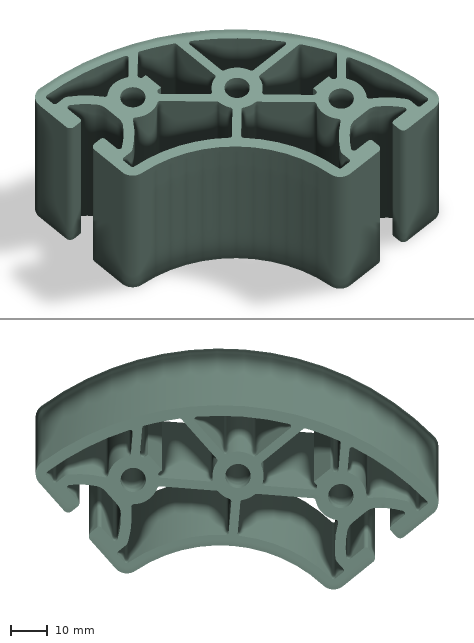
import cadquery as cq
import math


overall = 79.9
length = 50.0
corner_radius = 4.0
wall = 3.0
chamber_radius = 0.7

outer_radius = corner_radius + math.hypot(overall - corner_radius, corner_radius)
inner_radius = outer_radius / 2
mid_radius = (outer_radius + inner_radius) / 2
half_width = (outer_radius - inner_radius) / 2

boss_radius = 6.95
hole_radius = 3.4
web = 2.5
pad_half_width = 2.95
pad_reach = 7.8

middle_boss = (-mid_radius / math.sqrt(2), mid_radius / math.sqrt(2))
end_boss = (-mid_radius, half_width)
mirrored_end_boss = (-end_boss[1], -end_boss[0])

end_depth = half_width
slot_floor_depth = 7.8
lip_depth = 15.3
slot_gap = 7.9
slot_floor_radius = 4.55
slot_corner_radius = 0.8
lip_outer_radius = 1.5
lip_inner_radius = 0.95
shoulder_half_width = 12.95
shoulder_radius = 2.4

leg_center_depth = 27.6
leg_center_side = -9.75
leg_inner_radius = 24.0
leg_outer_radius = 26.9
leg_root_depth = boss_radius / 2


def ring_quadrant(small, large, inset):
    """Quarter of a ring about the bend axis, kept a distance `inset` inside both end faces."""
    ring = cq.Workplane().circle(large).circle(small).extrude(length)
    quadrant = cq.Workplane().box(large, large, length, centered=False)
    return ring.intersect(quadrant.translate((-large - inset, inset, 0)))


def with_mirror(solid):
    """The solid together with its copy at the other end of the bend."""
    return solid.union(solid.mirror(cq.Vector(1, 1, 0)))


def cylinder(center, radius):
    return cq.Workplane().center(*center).circle(radius).extrude(length)


def bar(start, angle, reach):
    """Web leaving `start` at an angle in degrees from +X."""
    plate = cq.Workplane().box(reach, web, length, centered=(False, True, False))
    return plate.rotate((0, 0, 0), (0, 0, 1), angle).translate((*start, 0))


def pad():
    """Flat raised pad on the side of the end boss facing away from the slot."""
    center = (end_boss[0], end_boss[1] + pad_reach / 2)
    return cq.Workplane().center(*center).rect(2 * pad_half_width, pad_reach).extrude(length)


def at_end_boss(points):
    """Turn (side, depth) pairs into profile points at the end boss."""
    return [(end_boss[0] + side, end_boss[1] - depth) for side, depth in points]


def nearest_edge(point):
    """Selector of the upright edge through a profile point."""
    return cq.selectors.NearestToPointSelector((*point, length / 2))


def leg_side(radius, depth):
    """Side distance of a leg arc at a depth."""
    return leg_center_side + math.sqrt(radius**2 - (depth - leg_center_depth) ** 2)


def leg_depth(radius, side):
    """Depth at which a leg arc reaches a side distance."""
    return leg_center_depth - math.sqrt(radius**2 - (side - leg_center_side) ** 2)


def between_legs(radius, top, bottom, base):
    """Symmetric prism between leg arcs from depth `top` to `bottom`, with straight sides on to `base`."""
    right = [(leg_side(radius, depth), depth) for depth in (top, (top + bottom) / 2, bottom)]
    left = [(-side, depth) for side, depth in reversed(right)]
    start, middle, stop = at_end_boss(right)
    left_stop, left_middle, left_start = at_end_boss(left)
    base_y = end_boss[1] - base
    outline = cq.Workplane().moveTo(*start).threePointArc(middle, stop)
    if base > bottom:
        outline = outline.lineTo(stop[0], base_y).lineTo(left_stop[0], base_y)
    outline = outline.lineTo(*left_stop).threePointArc(left_middle, left_start)
    return outline.close().extrude(length)


def slot_block():
    """Legs, shoulders and lips of a slot as one block, before hollowing."""
    shoulder_depth = leg_depth(leg_outer_radius, shoulder_half_width)
    block = between_legs(leg_outer_radius, leg_root_depth, shoulder_depth, end_depth)
    shoulders = [(side * shoulder_half_width, shoulder_depth) for side in (-1, 1)]
    for shoulder in at_end_boss(shoulders):
        block = block.edges("|Z").edges(nearest_edge(shoulder)).fillet(shoulder_radius)
    return block


def slot_void():
    """Cavity behind the lips, and the gap between them."""
    cavity = between_legs(leg_inner_radius, slot_floor_depth, lip_depth, lip_depth)
    cavity = cavity.edges("|Z and >Y").fillet(slot_floor_radius)
    cavity = cavity.edges("|Z and <Y").fillet(slot_corner_radius)
    lip_y = end_boss[1] - lip_depth
    gap = cq.Workplane().center(end_boss[0], lip_y / 2).rect(slot_gap, lip_y)
    return cavity.union(gap.extrude(length))


def round_lips(body, inset, radius):
    """Round the four slot lip edges lying a distance `inset` inside the end faces."""
    for side in (-1, 1):
        x = end_boss[0] + side * slot_gap / 2
        for point in ((x, inset), (-inset, -x)):
            body = body.edges("|Z").edges(nearest_edge(point)).fillet(radius)
    return body


def rounded(chamber):
    """Round the recessed corners of a chamber and keep its reentrant corners sharp."""
    outline = cq.Workplane(chamber).faces("<Z").wires().toPending()
    outline = outline.offset2D(-chamber_radius).offset2D(chamber_radius)
    return outline.extrude(length, combine=False)


end_frame = slot_block().union(cylinder(end_boss, boss_radius)).union(pad())
end_frame = end_frame.union(bar(end_boss, 45, math.dist(end_boss, middle_boss)))
end_frame = end_frame.union(bar(end_boss, 135, half_width))
end_frame = end_frame.union(bar(middle_boss, 180, 2 * half_width))
frame = with_mirror(end_frame).union(cylinder(middle_boss, boss_radius))
frame = frame.union(bar(middle_boss, -45, half_width))

chambers = ring_quadrant(inner_radius + wall, outer_radius - wall, wall).cut(frame)
body = ring_quadrant(inner_radius, outer_radius, 0).edges("|Z").fillet(corner_radius)
for chamber in chambers.solids().vals():
    body = body.cut(rounded(chamber))

body = body.cut(with_mirror(slot_void()))
body = round_lips(body, 0, lip_outer_radius)
body = round_lips(body, end_depth - lip_depth, lip_inner_radius)

for center in (end_boss, middle_boss, mirrored_end_boss):
    body = body.cut(cylinder(center, hole_radius))

result = body